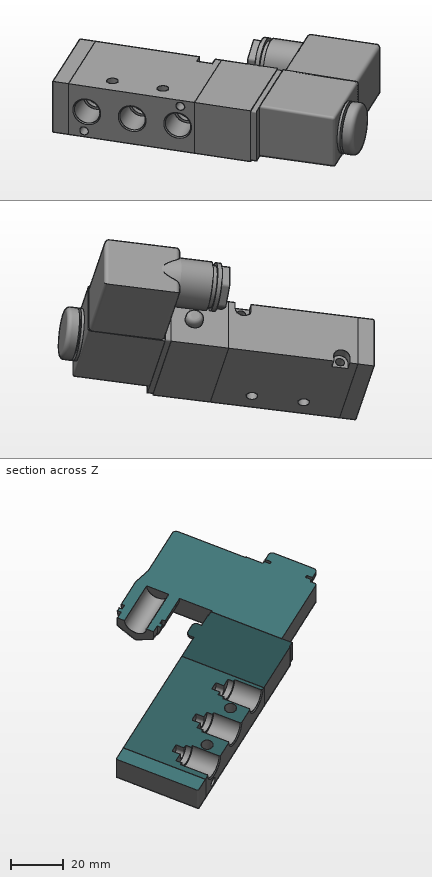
import cadquery as cq
import math

total_length = 117.1
valve_width = 34.9
valve_height = 22.0
center_y = valve_width / 2

cap_end = 6.4
body_end = 56.5
pilot_end = 78.7
plate_end = 80.9
coil_end = 110.8
holes_center_x = 31.7

cap_edge_round = 0.6

port_pitch = 18.0
port_radius = 5.0
port_chamfer = 0.5
port_depth = 11.7
port_seat_radius = 4.1
port_seat_depth = 14.0
slot_width = 3.2
slot_height = 7.3
slot_shift = 1.0

cross_hole_diameter = 4.3
cross_hole_pitch = 20.0
cross_hole_y = 7.0
bolt_diameter = 3.4
bolt_offset_x = 19.1
bolt_offset_z = 8.4
bolt_head_width = 6.2
bolt_head_depth = 3.6

plate_inset = 0.2
plate_edge_round = 0.7
button_radius = 3.4
button_height = 3.3
button_round = 1.8
button_x = 69.9

coil_y_min = 4.6
coil_y_max = 34.5
coil_end_height = 21.3
coil_round = 1.0

nut_radius = 10.1
nut_neck_radius = 7.6
nut_washer_end = 111.8
nut_start = 112.7
nut_round = 1.8

connector_x_min = 81.2
connector_x_max = 110.4
connector_y_max = 64.9
connector_height = 21.1
connector_round = 1.6

gland_y = 57.4
gland_radius = 9.4
gland_start = 68.9
gland_cone_length = 7.6
gland_cone_end_radius = 7.4
gland_neck_radius = 8.1
gland_ring_radius = 9.3
gland_ring_start = 65.3
gland_ring_end = 67.1
hex_start = 62.2
hex_across_flats = 15.5
hex_corner_round = 1.3
cable_hole_radius = 4.6


def block(x_min, x_max, y_min, y_max, height):
    """Box spanning the given X and Y ranges, centred on Z = 0."""
    box = cq.Workplane("XY").box(x_max - x_min, y_max - y_min, height, centered=(False, False, True))
    return box.translate((x_min, y_min, 0))


def disc(x_min, x_max, y, radius):
    """Cylinder along X, centred on Z = 0."""
    return cq.Workplane("YZ", origin=(x_min, y, 0)).circle(radius).extrude(x_max - x_min)


def drill(x, z, radius, depth):
    """Cylinder that enters the -Y face at (x, z)."""
    return cq.Workplane("XZ", origin=(x, 0, z)).circle(radius).extrude(-depth)


def make_end_cap():
    return block(0, cap_end, 0, valve_width, valve_height).faces("<X").edges().fillet(cap_edge_round)


def port_cutter(x, slot_x):
    """Chamfered port, its smaller seat, and the slot that leads on to the spool."""
    mouth_radius = port_radius + port_chamfer
    chamfer_cone = cq.Solid.makeCone(
        mouth_radius, port_radius, port_chamfer, cq.Vector(x, 0, 0), cq.Vector(0, 1, 0)
    )
    bore = drill(x, 0, port_radius, port_depth)
    seat = drill(x, 0, port_seat_radius, port_seat_depth)
    slot = (
        cq.Workplane("XZ", origin=(slot_x, 0, 0))
        .slot2D(slot_height, slot_width, 90)
        .extrude(-center_y)
    )
    return bore.union(seat).union(slot).union(cq.Workplane(chamfer_cone))


def bolt_cutter(side):
    """Through hole along Y with a head recess open to the top (side 1) or the bottom (side -1)."""
    x = holes_center_x + side * bolt_offset_x
    z = side * bolt_offset_z
    recess_y = valve_width - bolt_head_depth
    hole = drill(x, z, bolt_diameter / 2, valve_width)
    recess_round = (
        cq.Workplane("XZ", origin=(x, recess_y, z)).circle(bolt_head_width / 2).extrude(-bolt_head_depth)
    )
    recess_mouth = (
        cq.Workplane("XZ", origin=(x, recess_y, z + side * bolt_head_width / 2))
        .rect(bolt_head_width, bolt_head_width)
        .extrude(-bolt_head_depth)
    )
    return hole.union(recess_round).union(recess_mouth)


def make_valve_body():
    body = block(cap_end, body_end, 0, valve_width, valve_height)
    for step in (-1, 0, 1):
        port_x = holes_center_x + step * port_pitch
        body = body.cut(port_cutter(port_x, port_x - step * slot_shift))
    for side in (-1, 1):
        body = body.cut(bolt_cutter(side))
        cross_hole_x = holes_center_x + side * cross_hole_pitch / 2
        cross_hole = (
            cq.Workplane("XY", origin=(cross_hole_x, cross_hole_y, -valve_height / 2))
            .circle(cross_hole_diameter / 2)
            .extrude(valve_height)
        )
        body = body.cut(cross_hole)
    return body


def make_pilot_block():
    """Pilot block with its coil plate and the manual override button."""
    pilot = block(body_end, pilot_end, 0, valve_width, valve_height)
    plate = block(
        pilot_end, plate_end, plate_inset, valve_width - plate_inset, valve_height - 2 * plate_inset
    )
    plate = plate.edges("|X").fillet(plate_edge_round)
    button = (
        cq.Workplane("XZ", origin=(button_x, valve_width, 0))
        .circle(button_radius)
        .extrude(-button_height)
        .faces(">Y")
        .edges()
        .fillet(button_round)
    )
    return pilot.union(plate).union(button)


def make_coil():
    """Coil housing: tapers in Z, with rounded -Y edges and a rounded outer end."""
    start_half = valve_height / 2
    end_half = coil_end_height / 2
    profile = [
        (plate_end, -start_half),
        (coil_end, -end_half),
        (coil_end, end_half),
        (plate_end, start_half),
    ]
    coil = (
        cq.Workplane("XZ", origin=(0, coil_y_min, 0))
        .polyline(profile)
        .close()
        .extrude(coil_y_min - coil_y_max)
    )
    rounded_edges = coil.faces("<Y").edges("not |Z").add(coil.faces(">X").edges("not >Y"))
    return coil.newObject(rounded_edges.vals()).fillet(coil_round)


def make_nut():
    washer = disc(coil_end, nut_washer_end, center_y, nut_radius)
    neck = disc(coil_end, nut_start, center_y, nut_neck_radius)
    nut = disc(nut_start, total_length, center_y, nut_radius).faces(">X").edges().fillet(nut_round)
    return washer.union(neck).union(nut)


def make_connector():
    """Connector box, rounded around both X faces except where it meets the coil."""
    box = block(connector_x_min, connector_x_max, coil_y_max, connector_y_max, connector_height)
    return box.faces("<X or >X").edges("not <Y").fillet(connector_round)


def make_cable_gland():
    """Stepped gland with a hexagonal end, a cable hole, and a cone that fades into the connector."""
    barrel = disc(gland_start, connector_x_min, gland_y, gland_radius)
    cone = cq.Solid.makeCone(
        gland_radius,
        gland_cone_end_radius,
        gland_cone_length,
        cq.Vector(connector_x_min, gland_y, 0),
        cq.Vector(1, 0, 0),
    )
    neck = disc(gland_ring_end, gland_start, gland_y, gland_neck_radius)
    ring = disc(gland_ring_start, gland_ring_end, gland_y, gland_ring_radius)
    hexagon = (
        cq.Workplane("YZ", origin=(hex_start, gland_y, 0))
        .transformed(rotate=(0, 0, 90))
        .polygon(6, hex_across_flats / math.cos(math.pi / 6))
        .extrude(gland_ring_start - hex_start)
        .edges("|X")
        .fillet(hex_corner_round)
    )
    cable_hole = disc(hex_start, connector_x_min, gland_y, cable_hole_radius)
    gland = barrel.union(cq.Workplane(cone)).union(neck).union(ring).union(hexagon)
    return gland.cut(cable_hole)


def make_solenoid():
    """Coil, nut, connector and cable gland, moulded as one body."""
    return make_coil().union(make_nut()).union(make_connector()).union(make_cable_gland())


end_cap = make_end_cap()
valve_body = make_valve_body()
pilot_block = make_pilot_block()
solenoid = make_solenoid()

result = cq.Compound.makeCompound(
    [end_cap.val(), valve_body.val(), pilot_block.val(), solenoid.val()]
)